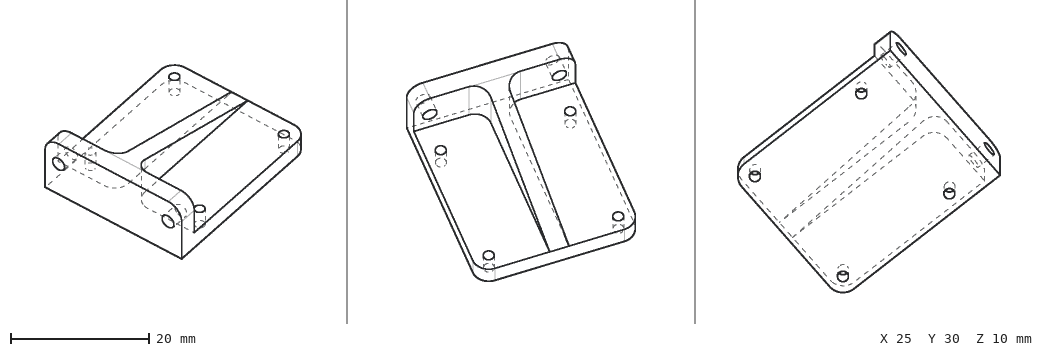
import cadquery as cq

width = 25.0
length = 30.0
height = 10.0

thickness = 3.0
corner_radius = 2.5

base_hole_diameter = 1.6
wall_hole_diameter = 2.2
hole_pitch = 20.0
wall_hole_height = 2 * thickness
back_hole_y = length - corner_radius


def make_base():
    """Flat plate with rounded back corners."""
    plate = cq.Workplane("XY").box(width, length, thickness, centered=(True, False, False))
    return plate.edges("|Z and >Y").fillet(corner_radius)


def make_wall():
    """Upright front plate with rounded top corners."""
    plate = cq.Workplane("XY").box(width, thickness, height, centered=(True, False, False))
    return plate.edges("|Y and >Z").fillet(corner_radius)


def make_rib():
    """Sloping central rib that flares into the wall."""
    half_rib = thickness / 2
    half_flare = half_rib + corner_radius
    flare_end_y = thickness + corner_radius
    plan = (
        cq.Workplane("XY")
        .moveTo(-half_flare, thickness)
        .lineTo(half_flare, thickness)
        .radiusArc((half_rib, flare_end_y), corner_radius)
        .lineTo(half_rib, length)
        .lineTo(-half_rib, length)
        .lineTo(-half_rib, flare_end_y)
        .radiusArc((-half_flare, thickness), corner_radius)
        .close()
        .extrude(height)
    )
    wedge = (
        cq.Workplane("YZ")
        .moveTo(thickness, thickness)
        .lineTo(length, thickness)
        .lineTo(thickness, height)
        .close()
        .extrude(half_flare, both=True)
    )
    return plan.intersect(wedge)


def make_base_holes():
    """Square pattern of vertical through holes."""
    return (
        cq.Workplane("XY")
        .center(0, back_hole_y - hole_pitch / 2)
        .rect(hole_pitch, hole_pitch, forConstruction=True)
        .vertices()
        .circle(base_hole_diameter / 2)
        .extrude(thickness)
    )


def make_wall_holes():
    """Pair of horizontal holes through the wall."""
    return (
        cq.Workplane("XZ")
        .pushPoints([(side * hole_pitch / 2, wall_hole_height) for side in (-1, 1)])
        .circle(wall_hole_diameter / 2)
        .extrude(-thickness)
    )


body = make_base().union(make_wall()).union(make_rib())
result = body.cut(make_base_holes()).cut(make_wall_holes())